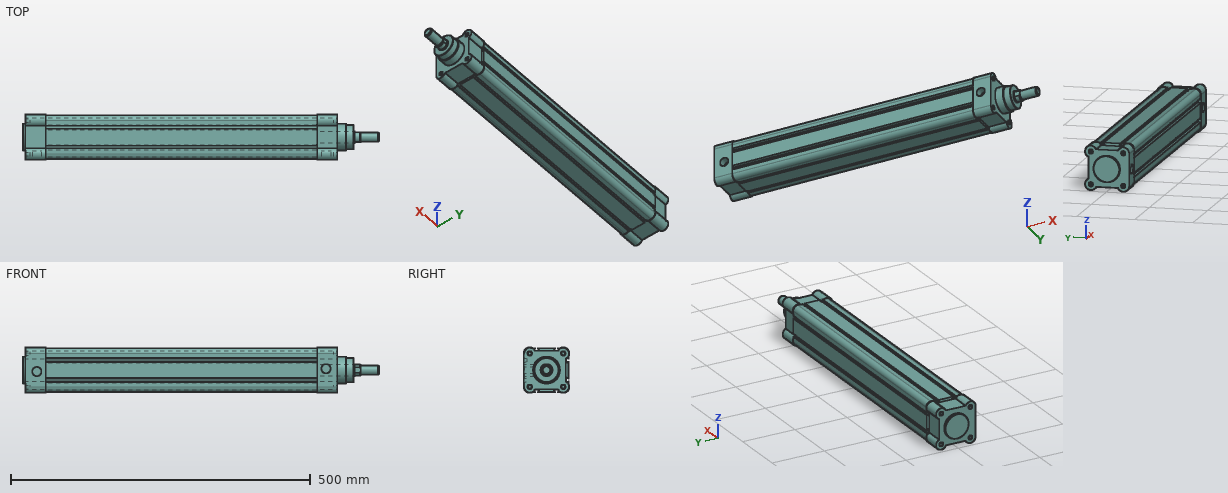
import cadquery as cq

TOTAL_LENGTH = 594.0
CAP_WIDTH = 76.0
CAP_LENGTH = 34.0
BOLT_OFFSET = 28.0
CAP_RECESS = 6.0
BOLT_HOLE_DIAMETER = 6.0
BOLT_MOUTH_DIAMETER = 8.0
BOLT_HOLE_DEPTH = 7.0
PORT_DIAMETER = 15.5
PORT_DEPTH = 15.5
PORT_INSET = 19.0
PORT_SHIFT = 2.5

BOSS_DIAMETER = 45.0
REAR_BOSS_LENGTH = 4.0
END_CHAMFER = 0.5
COLLAR_LENGTH = 15.0
NOSE_DIAMETER = 41.0
NOSE_LENGTH = 12.5

BARREL_LENGTH = 452.5
BARREL_WIDTH = 73.5
SLOT_OFFSET = 16.5
SLOT_DEPTH = 4.0
DOVETAIL_MOUTH_WIDTH = 5.0
DOVETAIL_FLOOR_WIDTH = 8.5
PORT_SIDE_MOUTH_WIDTH = 7.0
PORT_SIDE_FLOOR_WIDTH = 4.0

LIP_DIAMETER = 20.0
LIP_LENGTH = 2.0

ROD_DIAMETER = 19.0
ROD_CHAMFER_LENGTH = 2.0
ROD_CHAMFER_DEPTH = 1.0
ACROSS_FLATS = 16.5
THREAD_DIAMETER = 16.0
THREAD_LENGTH = 30.0
THREAD_CHAMFER = 2.0

REAR_CAP_X = REAR_BOSS_LENGTH
BARREL_X = REAR_CAP_X + CAP_LENGTH
FRONT_CAP_X = BARREL_X + BARREL_LENGTH
COLLAR_X = FRONT_CAP_X + CAP_LENGTH
NOSE_X = COLLAR_X + COLLAR_LENGTH
NOSE_END_X = NOSE_X + NOSE_LENGTH
LIP_END_X = NOSE_END_X + LIP_LENGTH
THREAD_X = TOTAL_LENGTH - THREAD_LENGTH

BOLT_POINTS = [(y, z) for y in (-BOLT_OFFSET, BOLT_OFFSET) for z in (-BOLT_OFFSET, BOLT_OFFSET)]


def section_at(x):
    """Workplane across the cylinder axis: local x is Y, local y is Z, extrusion is +X."""
    return cq.Workplane("YZ", origin=(x, 0, 0))


def cylinder(x, diameter, length):
    return section_at(x).circle(diameter / 2).extrude(length)


def make_cap_block(x, outer_face_x, port_x, port_z):
    """Cap with four round corner columns, hollowed on every side but the flat -Y port side."""
    half = CAP_WIDTH / 2
    core_half = half - CAP_RECESS
    corner_radius = half - BOLT_OFFSET
    core = section_at(x).rect(2 * core_half, 2 * core_half).extrude(CAP_LENGTH)
    columns = section_at(x).pushPoints(BOLT_POINTS).circle(corner_radius).extrude(CAP_LENGTH)
    port_side = section_at(x).center(-half / 2, 0).rect(half, 2 * BOLT_OFFSET).extrude(CAP_LENGTH)
    block = core.union(columns).union(port_side)

    inward = 1 if outer_face_x == x else -1
    hole_radius = BOLT_HOLE_DIAMETER / 2
    mouth_radius = BOLT_MOUTH_DIAMETER / 2
    hole_points = section_at(outer_face_x).pushPoints(BOLT_POINTS)
    bolt_holes = hole_points.circle(hole_radius).extrude(inward * BOLT_HOLE_DEPTH)
    hole_mouths = hole_points.circle(mouth_radius).extrude(inward * (mouth_radius - hole_radius), taper=45)
    port = (
        cq.Workplane("XZ", origin=(port_x, -half, port_z))
        .circle(PORT_DIAMETER / 2)
        .extrude(-PORT_DEPTH)
    )
    return block.cut(bolt_holes).cut(hole_mouths).cut(port)


def make_rear_cap():
    block = make_cap_block(REAR_CAP_X, REAR_CAP_X, REAR_CAP_X + PORT_INSET, -PORT_SHIFT)
    boss = cylinder(0, BOSS_DIAMETER, REAR_BOSS_LENGTH).faces("<X").chamfer(END_CHAMFER)
    return block.union(boss)


def make_front_cap():
    block = make_cap_block(FRONT_CAP_X, COLLAR_X, COLLAR_X - PORT_INSET, PORT_SHIFT)
    collar = cylinder(COLLAR_X, BOSS_DIAMETER, COLLAR_LENGTH).faces(">X").chamfer(END_CHAMFER)
    nose = cylinder(NOSE_X, NOSE_DIAMETER, NOSE_LENGTH).faces(">X").chamfer(END_CHAMFER)
    lip = cylinder(NOSE_END_X, LIP_DIAMETER, LIP_LENGTH)
    rod_bore = cylinder(FRONT_CAP_X, ROD_DIAMETER, LIP_END_X - FRONT_CAP_X)
    return block.union(collar).union(nose).union(lip).cut(rod_bore)


def make_slot_pair(mouth_width, floor_width, angle):
    """Two trapezoidal slot cutters for the +Z side, turned about the cylinder axis by the angle."""
    mouth_z = BARREL_WIDTH / 2
    floor_z = mouth_z - SLOT_DEPTH
    pair = cq.Workplane("YZ")
    for centre in (-SLOT_OFFSET, SLOT_OFFSET):
        slot = (
            section_at(BARREL_X)
            .moveTo(centre - mouth_width / 2, mouth_z)
            .lineTo(centre + mouth_width / 2, mouth_z)
            .lineTo(centre + floor_width / 2, floor_z)
            .lineTo(centre - floor_width / 2, floor_z)
            .close()
            .extrude(BARREL_LENGTH)
        )
        pair = pair.add(slot)
    return pair.combine().rotate((0, 0, 0), (1, 0, 0), angle)


def make_barrel():
    """Profile barrel with rounded long edges and two slots along each side."""
    corner_radius = BARREL_WIDTH / 2 - BOLT_OFFSET
    body = section_at(BARREL_X).rect(BARREL_WIDTH, BARREL_WIDTH).extrude(BARREL_LENGTH)
    body = body.edges("|X").fillet(corner_radius)
    for angle in (0, 180, 270):
        body = body.cut(make_slot_pair(DOVETAIL_MOUTH_WIDTH, DOVETAIL_FLOOR_WIDTH, angle))
    return body.cut(make_slot_pair(PORT_SIDE_MOUTH_WIDTH, PORT_SIDE_FLOOR_WIDTH, 90))


def make_rod():
    """Piston rod with wrench flats on its +Y and -Y sides and a chamfered threaded end."""
    shank = cylinder(FRONT_CAP_X, ROD_DIAMETER, THREAD_X - FRONT_CAP_X)
    shank = shank.faces(">X").chamfer(ROD_CHAMFER_LENGTH, ROD_CHAMFER_DEPTH)
    for side in (-1, 1):
        flat_cut = (
            section_at(LIP_END_X)
            .center(side * (ACROSS_FLATS + ROD_DIAMETER) / 2, 0)
            .rect(ROD_DIAMETER, ROD_DIAMETER)
            .extrude(THREAD_X - LIP_END_X)
        )
        shank = shank.cut(flat_cut)
    thread = cylinder(THREAD_X, THREAD_DIAMETER, THREAD_LENGTH)
    thread = thread.faces(">X").chamfer(THREAD_CHAMFER)
    return shank.union(thread)


rear_cap = make_rear_cap()
front_cap = make_front_cap()
barrel = make_barrel()
rod = make_rod()

result = cq.Compound.makeCompound([rear_cap.val(), front_cap.val(), barrel.val(), rod.val()])